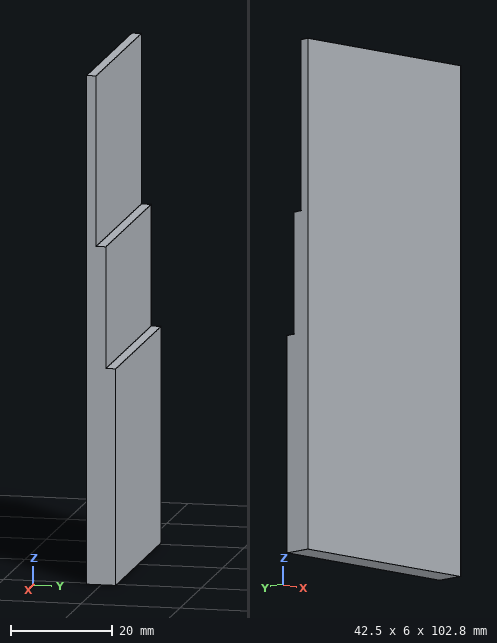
import cadquery as cq

width = 42.5
total_thickness = 6.0
layer_heights = [102.8, 68.3, 43.8]
layer_thickness = total_thickness / len(layer_heights)


def layer(index, height):
    """One full-width layer standing on the common base plane Z = 0."""
    return (
        cq.Workplane("XY")
        .box(width, layer_thickness, height, centered=(True, False, False))
        .translate((0, index * layer_thickness, 0))
    )


result = layer(0, layer_heights[0])
for index, height in enumerate(layer_heights[1:], start=1):
    result = result.union(layer(index, height))